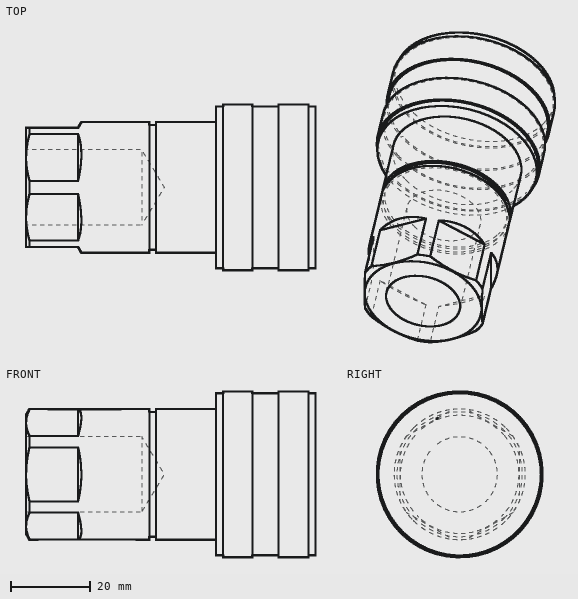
import cadquery as cq
import math

total_length = 73.0
sleeve_start = 47.9

body_diameter = 33.0
end_face_diameter = 29.85
end_chamfer_angle = 30.0
across_flats = 30.1
flat_length = 13.15
flat_runout_angle = 30.0
hex_sides = 6

groove_start = 31.1
groove_width = 1.7
groove_diameter = 31.5

sleeve_diameter = 40.9
band_diameter = 41.8
front_band_start = 49.7
front_band_width = 7.4
rear_band_start = 63.6
rear_band_width = 7.7

bore_diameter = 19.0
bore_depth = 29.2
drill_point_angle = 118.0


def cylinder(start, length, diameter):
    """Solid cylinder on the X axis."""
    return cq.Workplane("YZ", origin=(start, 0, 0)).circle(diameter / 2).extrude(length)


def make_body():
    """Grooved cylinder with a conical chamfer on its end face."""
    body_radius = body_diameter / 2
    face_radius = end_face_diameter / 2
    chamfer_length = (body_radius - face_radius) * math.tan(math.radians(end_chamfer_angle))
    profile = (
        cq.Workplane("XY")
        .moveTo(0, 0)
        .lineTo(0, face_radius)
        .lineTo(chamfer_length, body_radius)
        .lineTo(groove_start, body_radius)
        .lineTo(groove_start, groove_diameter / 2)
        .lineTo(groove_start + groove_width, groove_diameter / 2)
        .lineTo(groove_start + groove_width, body_radius)
        .lineTo(total_length, body_radius)
        .lineTo(total_length, 0)
        .close()
    )
    return profile.revolve(360, (0, 0, 0), (1, 0, 0))


def make_flat_cutter():
    """Material outside one wrench flat, ending in a sloped plane."""
    flat_height = across_flats / 2
    cutter_height = body_diameter - flat_height
    runout = cutter_height * math.tan(math.radians(flat_runout_angle))
    return (
        cq.Workplane("XY")
        .moveTo(0, flat_height)
        .lineTo(flat_length, flat_height)
        .lineTo(flat_length + runout, flat_height + cutter_height)
        .lineTo(0, flat_height + cutter_height)
        .close()
        .extrude(body_diameter / 2, both=True)
    )


def make_sleeve():
    """Sleeve with two slightly raised bands."""
    sleeve = cylinder(sleeve_start, total_length - sleeve_start, sleeve_diameter)
    sleeve = sleeve.union(cylinder(front_band_start, front_band_width, band_diameter))
    return sleeve.union(cylinder(rear_band_start, rear_band_width, band_diameter))


def make_bore():
    """Blind hole with a conical drill point."""
    bore_radius = bore_diameter / 2
    point_length = bore_radius / math.tan(math.radians(drill_point_angle / 2))
    profile = (
        cq.Workplane("XY")
        .moveTo(0, 0)
        .lineTo(0, bore_radius)
        .lineTo(bore_depth, bore_radius)
        .lineTo(bore_depth + point_length, 0)
        .close()
    )
    return profile.revolve(360, (0, 0, 0), (1, 0, 0))


part = make_body()
for side in range(hex_sides):
    cutter = make_flat_cutter().rotate((0, 0, 0), (1, 0, 0), side * 360 / hex_sides)
    part = part.cut(cutter)

part = part.union(make_sleeve())
result = part.cut(make_bore())